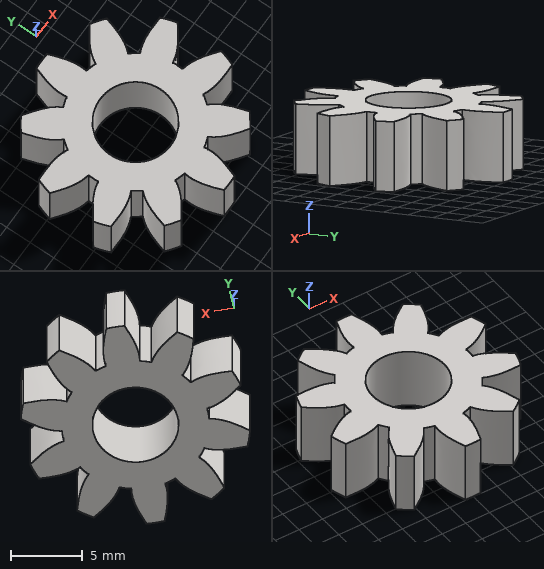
import cadquery as cq
import math

tooth_count = 10
tip_diameter = 16.01
root_diameter = 10.31
bore_diameter = 6.0
face_width = 5.0

root_thickness = 2.4
shoulder_thickness = 2.39
shoulder_height = 6.08
upper_thickness = 1.95
upper_height = 7.03
tip_thickness = 1.3

tip_radius = tip_diameter / 2
root_radius = root_diameter / 2
tip_corner_height = math.sqrt(tip_radius**2 - (tip_thickness / 2) ** 2)
flank_root_height = math.sqrt(root_radius**2 - (root_thickness / 2) ** 2)
tooth_base_height = root_radius / 2


def make_tooth():
    """One tooth along +Y, with its base buried in the hub."""
    half_root = root_thickness / 2
    right_flank = [
        (half_root, flank_root_height),
        (shoulder_thickness / 2, shoulder_height),
        (upper_thickness / 2, upper_height),
        (tip_thickness / 2, tip_corner_height),
    ]
    left_flank = [(-x, y) for x, y in reversed(right_flank)]
    return (
        cq.Workplane("XY")
        .moveTo(-half_root, tooth_base_height)
        .lineTo(half_root, tooth_base_height)
        .lineTo(*right_flank[0])
        .spline(right_flank[1:], includeCurrent=True)
        .threePointArc((0, tip_radius), left_flank[0])
        .spline(left_flank[1:], includeCurrent=True)
        .close()
        .extrude(face_width)
    )


gear = cq.Workplane("XY").circle(root_radius).extrude(face_width)
tooth = make_tooth()
for index in range(tooth_count):
    angle = index * 360 / tooth_count
    gear = gear.union(tooth.rotate((0, 0, 0), (0, 0, 1), angle))

bore = cq.Workplane("XY").circle(bore_diameter / 2).extrude(face_width)
result = gear.cut(bore)